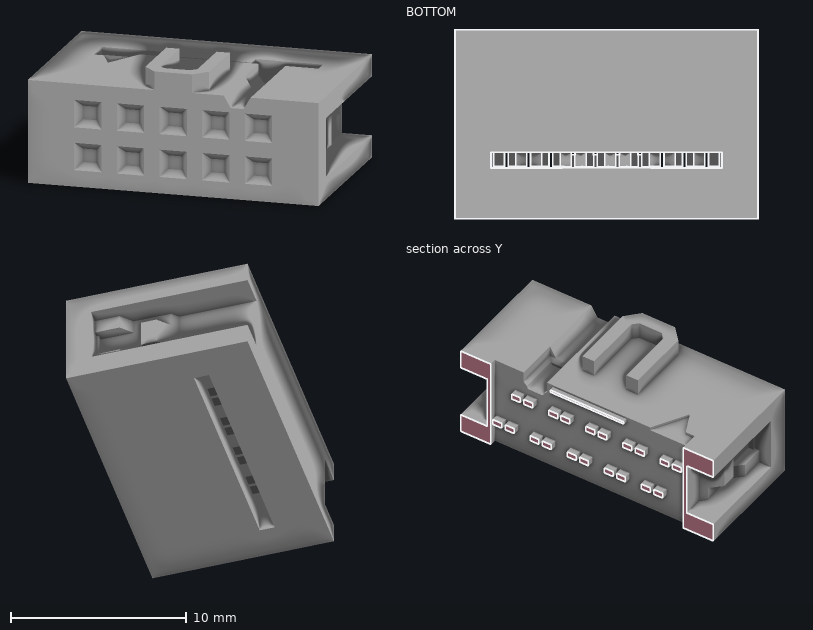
import cadquery as cq

LENGTH = 17.3
DEPTH = 10.8
BODY_HEIGHT = 6.1
OVERALL_HEIGHT = 7.2
MID_HEIGHT = BODY_HEIGHT / 2

PITCH = 2.54
COLUMNS = 5
ENTRY_WIDTH = 1.62
ENTRY_FLOOR_WIDTH = 0.8
ENTRY_DEPTH = 0.41

KEY_HALF_WIDTH = 1.9
KEY_INNER_HALF_WIDTH = 1.1
KEY_LENGTH = 5.02
KEY_BASE = 0.84
KEY_OUTER_CHAMFER_X = 0.78
KEY_INNER_CHAMFER = 0.33

PASSAGE_HALF_LENGTH = 6.58
PASSAGE_FRONT = 7.0
PASSAGE_BACK = 7.89
LIP_HALF_LENGTH = 2.53
LIP_FRONT = 7.13
LIP_THICKNESS = 0.2

FORK_WIDTH = 1.48
FORK_SLOT = 0.2
FORK_TIP = 7.81
FORK_EMBEDMENT = 0.2
FORK_ROOT = PASSAGE_FRONT - FORK_EMBEDMENT
FORK_THICKNESS = 0.4
FORK_OFFSET = PITCH / 4

ARROW_DEPTH = 0.2
ARROW_SHOULDER_X = -5.96
ARROW_SHOULDER_Y = 6.22
ARROW_TIP_X = -5.3
ARROW_TIP_Y = 4.79
ARROW_RIGHT_X = -4.05

GROOVE_X = 1.5 * PITCH
GROOVE_HALF_TOP = 0.8
GROOVE_HALF_FLOOR = 0.385
GROOVE_DEPTH = 0.71
TROUGH_START = 4.28
TROUGH_CHAMFER = 0.22
TROUGH_ROUND = 0.18

RECESS_HALF_HEIGHT = 1.76
RECESS_FRONT = 1.48
RECESS_DEPTH = 1.8
LATCH_HALF_HEIGHT = 0.86
RAMP_START = 6.2
LOW_STEP = 0.37
STOP_STEP = 1.02
CATCH_STEP = 1.05
CATCH_FRONT = 4.23
CATCH_UNDERCUT = 0.24
STOP_RAMP_START = 3.6
CENTRE_FRONT = 1.62
SILL_STEP = 0.7


def box(x_min, x_max, y_min, y_max, z_min, z_max):
    """Axis-aligned block between the given limits."""
    size = (x_max - x_min, y_max - y_min, z_max - z_min)
    block = cq.Workplane("XY").box(*size, centered=False)
    return block.translate((x_min, y_min, z_min))


def pin_entry(x, z):
    """Square funnel with a flat floor, sunk into the front face."""
    return (
        cq.Workplane("XZ", origin=(x, 0, z))
        .rect(ENTRY_WIDTH, ENTRY_WIDTH)
        .workplane(offset=-ENTRY_DEPTH)
        .rect(ENTRY_FLOOR_WIDTH, ENTRY_FLOOR_WIDTH)
        .loft(ruled=True)
    )


def polarising_key():
    """U-shaped rib standing on the top, open toward the back."""
    shoulder_x = KEY_INNER_HALF_WIDTH - KEY_INNER_CHAMFER
    right_half = [
        (KEY_HALF_WIDTH - KEY_OUTER_CHAMFER_X, 0),
        (KEY_HALF_WIDTH, KEY_BASE),
        (KEY_HALF_WIDTH, KEY_LENGTH),
        (KEY_INNER_HALF_WIDTH, KEY_LENGTH),
        (KEY_INNER_HALF_WIDTH, KEY_BASE + KEY_INNER_CHAMFER),
        (shoulder_x, KEY_BASE),
    ]
    left_half = [(-x, y) for x, y in reversed(right_half)]
    plane = cq.Workplane("XY", origin=(0, 0, BODY_HEIGHT))
    return plane.polyline(right_half + left_half).close().extrude(OVERALL_HEIGHT - BODY_HEIGHT)


def cable_passage():
    """Slot through the housing, narrowed at the top by a thin lip at mid length."""
    slot = box(-PASSAGE_HALF_LENGTH, PASSAGE_HALF_LENGTH, PASSAGE_FRONT, PASSAGE_BACK, 0, BODY_HEIGHT)
    lip = box(
        -LIP_HALF_LENGTH, LIP_HALF_LENGTH, LIP_FRONT, PASSAGE_BACK, BODY_HEIGHT - LIP_THICKNESS, BODY_HEIGHT
    )
    return slot.cut(lip)


def fork(x, z):
    """Flat two-tined contact reaching from the front wall into the passage."""
    z_min = z - FORK_THICKNESS / 2
    z_max = z + FORK_THICKNESS / 2
    blade = box(x - FORK_WIDTH / 2, x + FORK_WIDTH / 2, FORK_ROOT, FORK_TIP, z_min, z_max)
    slot = box(x - FORK_SLOT / 2, x + FORK_SLOT / 2, PASSAGE_FRONT, FORK_TIP, z_min, z_max)
    return blade.cut(slot)


def arrow_recess():
    """Shallow triangular pin-one mark opening into the passage."""
    outline = [
        (-PASSAGE_HALF_LENGTH, PASSAGE_FRONT),
        (-PASSAGE_HALF_LENGTH, ARROW_SHOULDER_Y),
        (ARROW_SHOULDER_X, ARROW_SHOULDER_Y),
        (ARROW_TIP_X, ARROW_TIP_Y),
        (ARROW_RIGHT_X, PASSAGE_FRONT),
    ]
    plane = cq.Workplane("XY", origin=(0, 0, BODY_HEIGHT))
    return plane.polyline(outline).close().extrude(-ARROW_DEPTH)


def coding_groove():
    """Trapezoidal groove from the front face to the trough."""
    section = [
        (-GROOVE_HALF_TOP, 0),
        (GROOVE_HALF_TOP, 0),
        (GROOVE_HALF_FLOOR, -GROOVE_DEPTH),
        (-GROOVE_HALF_FLOOR, -GROOVE_DEPTH),
    ]
    plane = cq.Workplane("XZ", origin=(GROOVE_X, 0, BODY_HEIGHT))
    return plane.polyline(section).close().extrude(-TROUGH_START)


def groove_trough():
    """Straight-sided pocket, bevelled on three sides, with a round-edged floor channel."""
    half_channel = GROOVE_HALF_TOP - TROUGH_CHAMFER
    left = GROOVE_X - GROOVE_HALF_TOP
    right = GROOVE_X + GROOVE_HALF_TOP
    bevel_top = BODY_HEIGHT - GROOVE_DEPTH
    bevel_bottom = bevel_top - TROUGH_CHAMFER
    floor = bevel_bottom - TROUGH_ROUND

    pocket = box(left, right, TROUGH_START, PASSAGE_FRONT, bevel_bottom, BODY_HEIGHT)
    bevelled = pocket.faces("<Z").edges("<Y or <X or >X").chamfer(TROUGH_CHAMFER)
    channel = box(
        GROOVE_X - half_channel,
        GROOVE_X + half_channel,
        TROUGH_START + TROUGH_CHAMFER,
        PASSAGE_FRONT,
        floor,
        bevel_top,
    )
    rounded = channel.faces("<Z").edges("|Y").fillet(TROUGH_ROUND)
    return bevelled.union(rounded)


def recess_cutter(steps, half_height):
    """Volume outside a stepped end-wall profile, for the -X end."""
    outer = -LENGTH / 2
    inner = outer + RECESS_DEPTH
    wall = [(inner - step, y) for step, y in steps]
    outline = [(outer, DEPTH), (inner, DEPTH)] + wall + [(outer, RECESS_FRONT)]
    plane = cq.Workplane("XY", origin=(0, 0, MID_HEIGHT - half_height))
    return plane.polyline(outline).close().extrude(2 * half_height)


def latch_recess():
    """Recess in the -X end: 45-degree ramps lead to an undercut central catch and two stops."""
    stop_ramp_end = STOP_RAMP_START - (STOP_STEP - LOW_STEP)
    outer_steps = [
        (0, RAMP_START),
        (LOW_STEP, RAMP_START - LOW_STEP),
        (LOW_STEP, STOP_RAMP_START),
        (STOP_STEP, stop_ramp_end),
        (STOP_STEP, RECESS_FRONT),
    ]
    centre_steps = [
        (0, RAMP_START),
        (CATCH_STEP, RAMP_START - CATCH_STEP),
        (CATCH_STEP, CATCH_FRONT),
        (LOW_STEP, CATCH_FRONT + CATCH_UNDERCUT),
        (LOW_STEP, CENTRE_FRONT),
        (SILL_STEP, CENTRE_FRONT),
        (SILL_STEP, RECESS_FRONT),
    ]
    full = recess_cutter(outer_steps, RECESS_HALF_HEIGHT)
    centre_band = box(
        -LENGTH / 2,
        LENGTH / 2,
        0,
        DEPTH,
        MID_HEIGHT - LATCH_HALF_HEIGHT,
        MID_HEIGHT + LATCH_HALF_HEIGHT,
    )
    return full.cut(centre_band).union(recess_cutter(centre_steps, LATCH_HALF_HEIGHT))


body = box(-LENGTH / 2, LENGTH / 2, 0, DEPTH, 0, BODY_HEIGHT)
body = body.cut(cable_passage()).cut(arrow_recess())
body = body.cut(coding_groove()).cut(groove_trough())

end_recess = latch_recess()
body = body.cut(end_recess).cut(end_recess.mirror("YZ"))

lower_row = MID_HEIGHT - PITCH / 2
upper_row = MID_HEIGHT + PITCH / 2
for column in range(COLUMNS):
    pin_x = (column - (COLUMNS - 1) / 2) * PITCH
    for row_z, fork_shift in ((lower_row, FORK_OFFSET), (upper_row, -FORK_OFFSET)):
        body = body.cut(pin_entry(pin_x, row_z))
        body = body.union(fork(pin_x + fork_shift, row_z))

result = body.union(polarising_key())